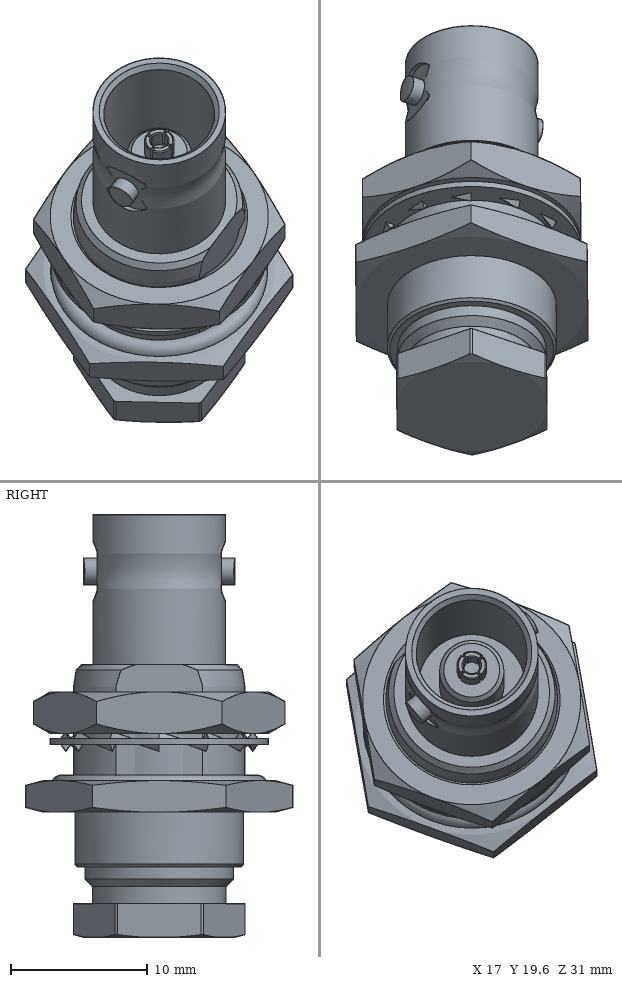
import cadquery as cq
import math


END_HEX_TOP_Z = 2.48
NECK_TOP_Z = 3.72
COLLAR_CONE_TOP_Z = 4.28
REAR_BARREL_Z = 5.18
FLANGE_Z = 9.18
FLANGE_TOP_Z = 11.5
THREAD_TOP_Z = 18.38
SLEEVE_CHAMFER_Z = 19.6
SLEEVE_TOP_Z = 20.0
LUG_Z = 26.85
TOP_Z = 31.0

NECK_R = 4.9
FRONT_BARREL_R = 4.87
COLLAR_R = 5.45
REAR_BARREL_R = 6.2
REAR_BARREL_CHAMFER = 0.2
THREAD_R = 6.3
SLEEVE_TAPER_R = 6.1
SLEEVE_TOP_R = 5.7
CORE_R = 5.7
THREAD_FLAT_X = 5.42
BARREL_GROOVE_R = 4.68
BARREL_GROOVE_WIDTH = 2.55

END_HEX_FLATS = 11.0
END_HEX_CORNER_R = 6.3
END_HEX_CHAMFER_R = 5.55
END_HEX_CHAMFER_ANGLE = 15.0

FLANGE_FLATS = 17.0
FLANGE_CHAMFER_R = FLANGE_FLATS / 2
FLANGE_CHAMFER_ANGLE = 15.0

BEAD_SECTION_R = 0.78
BEAD_TOP_Z = 11.9
BEAD_Z = BEAD_TOP_Z - BEAD_SECTION_R
BEAD_RING_R = 7.15
BEAD_GROOVE_R = 7.97
BEAD_GROOVE_FLOOR_Z = 10.7

LUG_R = 1.0
LUG_REACH = 5.55
LUG_SEAT_R = 2.2
LUG_SEAT_Y = 4.55

MOUTH_R = 4.4
MOUTH_CHAMFER = 0.35
SOCKET_FLOOR_R = 3.95
SOCKET_FLOOR_Z = 21.7
INSULATOR_TOP_Z = 26.05
INSULATOR_R = 2.35
INSULATOR_CHAMFER = 0.3
CONTACT_TOP_Z = 27.45
CONTACT_R = 1.1
CONTACT_CHAMFER = 0.1
CONTACT_BORE_R = 0.62
CONTACT_SLOT_WIDTH = 0.2

TRIM_MARGIN = 0.3

NUT_Z = 14.95
NUT_TOP_Z = 18.0
NUT_FLATS = 16.0
NUT_CHAMFER_R = NUT_FLATS / 2
NUT_CHAMFER_ANGLE = 30.0
NUT_BORE_R = 5.92
NUT_BORE_MOUTH_R = 6.48

WASHER_Z = 14.15
WASHER_TOP_Z = 14.6
WASHER_R = 8.0
TOOTH_COUNT = 12
TOOTH_OUTER_R = 7.22
TOOTH_INNER_R = 6.48
TOOTH_TIP_R = (TOOTH_OUTER_R + TOOTH_INNER_R) / 2
TOOTH_HEIGHT = 0.5
TOOTH_SPAN_ANGLE = 12.5


def cylinder(radius, bottom_z, top_z):
    return cq.Workplane("XY").workplane(offset=bottom_z).circle(radius).extrude(top_z - bottom_z)


def turned(points):
    """Solid of revolution about Z from (radius, z) points."""
    return cq.Workplane("XZ").polyline(points).close().revolve(360, (0, 0, 0), (0, 1, 0))


def hex_prism(flats, bottom_z, top_z):
    """Hexagon with two flats facing -X and +X."""
    across_corners = flats / math.cos(math.pi / 6)
    return (
        cq.Workplane("XY")
        .workplane(offset=bottom_z)
        .transformed(rotate=(0, 0, 30))
        .polygon(6, across_corners)
        .extrude(top_z - bottom_z)
    )


def corner_trim(flats, face_r, angle, bottom_z, top_z, trim_top=True):
    """Cylinder with coned ends that chamfers the corners of a hexagon when intersected with it."""
    outer_r = flats / math.cos(math.pi / 6) / 2 + TRIM_MARGIN
    drop = (outer_r - face_r) * math.tan(math.radians(angle))
    points = [(0, bottom_z), (face_r, bottom_z), (outer_r, bottom_z + drop)]
    if trim_top:
        points += [(outer_r, top_z - drop), (face_r, top_z), (0, top_z)]
    else:
        points += [(outer_r, top_z), (0, top_z)]
    return turned(points)


def make_end_hex():
    hexagon = hex_prism(END_HEX_FLATS, 0, END_HEX_TOP_Z)
    trim = corner_trim(
        END_HEX_FLATS, END_HEX_CHAMFER_R, END_HEX_CHAMFER_ANGLE, 0, END_HEX_TOP_Z, trim_top=False
    )
    return hexagon.intersect(cylinder(END_HEX_CORNER_R, 0, END_HEX_TOP_Z)).intersect(trim)


def make_rear_barrel():
    return turned([
        (0, END_HEX_TOP_Z),
        (NECK_R, END_HEX_TOP_Z),
        (NECK_R, NECK_TOP_Z),
        (COLLAR_R, COLLAR_CONE_TOP_Z),
        (COLLAR_R, REAR_BARREL_Z),
        (REAR_BARREL_R - REAR_BARREL_CHAMFER, REAR_BARREL_Z),
        (REAR_BARREL_R, REAR_BARREL_Z + REAR_BARREL_CHAMFER),
        (REAR_BARREL_R, FLANGE_Z),
        (0, FLANGE_Z),
    ])


def make_flange():
    """Hex flange with the O-ring bead sunk into a groove in its top face."""
    flange = hex_prism(FLANGE_FLATS, FLANGE_Z, FLANGE_TOP_Z).intersect(
        corner_trim(FLANGE_FLATS, FLANGE_CHAMFER_R, FLANGE_CHAMFER_ANGLE, FLANGE_Z, FLANGE_TOP_Z)
    )
    groove = cylinder(BEAD_GROOVE_R, BEAD_GROOVE_FLOOR_Z, FLANGE_TOP_Z)
    bead = (
        cq.Workplane("XZ")
        .center(BEAD_RING_R, BEAD_Z)
        .circle(BEAD_SECTION_R)
        .revolve(360, (-BEAD_RING_R, 0, 0), (-BEAD_RING_R, 1, 0))
    )
    return flange.cut(groove).union(bead)


def make_threaded_sleeve():
    """Threaded sleeve with a flat on +X, and a round core below the nut."""
    sleeve = turned([
        (0, BEAD_GROOVE_FLOOR_Z),
        (THREAD_R, BEAD_GROOVE_FLOOR_Z),
        (THREAD_R, THREAD_TOP_Z),
        (SLEEVE_TAPER_R, SLEEVE_CHAMFER_Z),
        (SLEEVE_TOP_R, SLEEVE_TOP_Z),
        (0, SLEEVE_TOP_Z),
    ])
    sleeve = sleeve.intersect(
        cq.Workplane("XY")
        .box(2 * THREAD_R, 2 * THREAD_R, TOP_Z, centered=(True, True, False))
        .translate((THREAD_FLAT_X - THREAD_R, 0, 0))
    )
    return sleeve.union(cylinder(CORE_R, BEAD_GROOVE_FLOOR_Z, NUT_Z))


def make_front_barrel():
    """Plain barrel with a shallow round-bottomed groove at the height of the lugs."""
    groove_bottom_z = LUG_Z - BARREL_GROOVE_WIDTH / 2
    groove_top_z = LUG_Z + BARREL_GROOVE_WIDTH / 2
    return (
        cq.Workplane("XZ")
        .moveTo(0, SLEEVE_TOP_Z)
        .lineTo(FRONT_BARREL_R, SLEEVE_TOP_Z)
        .lineTo(FRONT_BARREL_R, groove_bottom_z)
        .threePointArc((BARREL_GROOVE_R, LUG_Z), (FRONT_BARREL_R, groove_top_z))
        .lineTo(FRONT_BARREL_R, TOP_Z)
        .lineTo(0, TOP_Z)
        .close()
        .revolve(360, (0, 0, 0), (0, 1, 0))
    )


def crosswise_cylinder(radius, half_length):
    """Cylinder along Y through the axis at lug height."""
    return cq.Workplane("XZ").center(0, LUG_Z).circle(radius).extrude(half_length, both=True)


def add_lugs(barrel):
    """Sink a round flat seat on each side, then add the two lugs with rounded ends."""
    seat_core = cq.Workplane("XY").box(2 * FRONT_BARREL_R, 2 * LUG_SEAT_Y, 2 * TOP_Z)
    seats = crosswise_cylinder(LUG_SEAT_R, LUG_REACH).cut(seat_core)
    lugs = crosswise_cylinder(LUG_R, 2 * LUG_REACH).intersect(cylinder(LUG_REACH, SLEEVE_TOP_Z, TOP_Z))
    return barrel.cut(seats).union(lugs)


def make_socket():
    """Slightly tapered cavity of the mating socket, open at the top."""
    throat_r = MOUTH_R - MOUTH_CHAMFER
    return turned([
        (0, SOCKET_FLOOR_Z),
        (SOCKET_FLOOR_R, SOCKET_FLOOR_Z),
        (throat_r, TOP_Z - MOUTH_CHAMFER),
        (MOUTH_R, TOP_Z),
        (0, TOP_Z),
    ])


def make_insulator():
    top_r = INSULATOR_R - INSULATOR_CHAMFER
    return turned([
        (0, SOCKET_FLOOR_Z),
        (INSULATOR_R, SOCKET_FLOOR_Z),
        (INSULATOR_R, INSULATOR_TOP_Z - INSULATOR_CHAMFER),
        (top_r, INSULATOR_TOP_Z),
        (0, INSULATOR_TOP_Z),
    ])


def make_contact():
    """Hollow centre contact split by two crossing slots."""
    contact = cylinder(CONTACT_R, INSULATOR_TOP_Z, CONTACT_TOP_Z)
    contact = contact.faces(">Z").edges().chamfer(CONTACT_CHAMFER)
    contact = contact.cut(cylinder(CONTACT_BORE_R, INSULATOR_TOP_Z, CONTACT_TOP_Z))
    bore_rim = contact.faces(">Z").edges(cq.selectors.RadiusNthSelector(0))
    contact = bore_rim.chamfer(CONTACT_CHAMFER)
    for angle in (0, 90):
        slot = (
            cq.Workplane("XY")
            .box(3 * CONTACT_R, CONTACT_SLOT_WIDTH, 2 * TOP_Z)
            .rotate((0, 0, 0), (0, 0, 1), angle)
        )
        contact = contact.cut(slot)
    return contact


def make_connector():
    barrel = add_lugs(make_front_barrel())
    connector = make_end_hex().union(make_rear_barrel()).union(make_flange())
    connector = connector.union(make_threaded_sleeve()).union(barrel)
    return connector.cut(make_socket()).union(make_insulator()).union(make_contact())


def make_nut(connector):
    """Hex nut whose bore is fitted to the thread and reaches inward over the thread flat."""
    nut = hex_prism(NUT_FLATS, NUT_Z, NUT_TOP_Z).intersect(
        corner_trim(NUT_FLATS, NUT_CHAMFER_R, NUT_CHAMFER_ANGLE, NUT_Z, NUT_TOP_Z)
    )
    bore_chamfer = NUT_BORE_MOUTH_R - NUT_BORE_R
    bore = turned([
        (0, NUT_Z),
        (NUT_BORE_R, NUT_Z),
        (NUT_BORE_R, NUT_TOP_Z - bore_chamfer),
        (NUT_BORE_MOUTH_R, NUT_TOP_Z),
        (0, NUT_TOP_Z),
    ])
    return nut.cut(bore).cut(connector)


def make_tooth(face_z, height, span_angle):
    """Tetrahedron: a radial triangle standing on the washer face, running out to a point."""
    tail_angle = math.radians(span_angle)
    tail = cq.Vector(TOOTH_TIP_R * math.cos(tail_angle), TOOTH_TIP_R * math.sin(tail_angle), face_z)
    inner = cq.Vector(TOOTH_INNER_R, 0, face_z)
    outer = cq.Vector(TOOTH_OUTER_R, 0, face_z)
    tip = cq.Vector(TOOTH_TIP_R, 0, face_z + height)
    corner_sets = [(inner, outer, tip), (inner, outer, tail), (inner, tip, tail), (outer, tip, tail)]
    faces = [
        cq.Face.makeFromWires(cq.Wire.makePolygon(corners, close=True)) for corners in corner_sets
    ]
    return cq.Solid.makeSolid(cq.Shell.makeShell(faces))


def make_washer():
    """Flat ring with teeth on both faces; the upper teeth are flattened against the nut."""
    washer = cylinder(WASHER_R, WASHER_Z, WASHER_TOP_Z).cut(cylinder(THREAD_R, WASHER_Z, WASHER_TOP_Z))
    lower_tooth = make_tooth(WASHER_Z, -TOOTH_HEIGHT, -TOOTH_SPAN_ANGLE)
    upper_tooth = make_tooth(WASHER_TOP_Z, TOOTH_HEIGHT, TOOTH_SPAN_ANGLE)
    for index in range(TOOTH_COUNT):
        angle = index * 360 / TOOTH_COUNT
        for tooth in (lower_tooth, upper_tooth):
            washer = washer.union(cq.Workplane(tooth).rotate((0, 0, 0), (0, 0, 1), angle))
    return washer.intersect(cylinder(WASHER_R, 0, NUT_Z))


connector = make_connector()
nut = make_nut(connector)
washer = make_washer()

result = cq.Compound.makeCompound([
    connector.solids().val(),
    nut.solids().val(),
    washer.solids().val(),
])